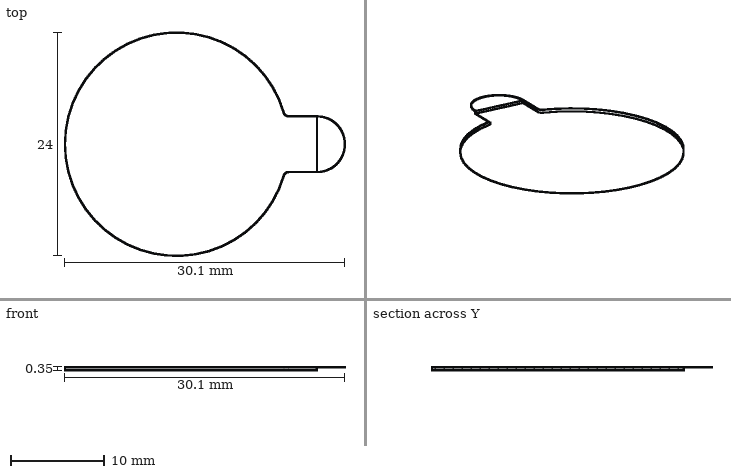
import cadquery as cq
import math

total_length = 30.07
disc_radius = 12.0
tab_radius = 3.0
neck_fillet = 0.5
total_thickness = 0.35
film_thickness = 0.07

tab_tip_x = total_length - disc_radius
tab_centre_x = tab_tip_x - tab_radius

fillet_centre_distance = disc_radius + neck_fillet
fillet_centre_y = tab_radius + neck_fillet
fillet_centre_x = math.sqrt(fillet_centre_distance**2 - fillet_centre_y**2)

rim_ratio = disc_radius / fillet_centre_distance
rim_x = fillet_centre_x * rim_ratio
rim_y = fillet_centre_y * rim_ratio


def disc_with_straight_tab():
    """Open outline: lower tab side, lower neck, disc rim, upper neck, upper tab side."""
    return (
        cq.Workplane("XY")
        .moveTo(tab_centre_x, -tab_radius)
        .lineTo(fillet_centre_x, -tab_radius)
        .tangentArcPoint((rim_x, -rim_y), relative=False)
        .threePointArc((-disc_radius, 0), (rim_x, rim_y))
        .tangentArcPoint((fillet_centre_x, tab_radius), relative=False)
        .lineTo(tab_centre_x, tab_radius)
    )


film = (
    disc_with_straight_tab()
    .threePointArc((tab_tip_x, 0), (tab_centre_x, -tab_radius))
    .close()
    .extrude(-film_thickness)
)

backing = (
    disc_with_straight_tab()
    .close()
    .extrude(film_thickness - total_thickness)
    .translate((0, 0, -film_thickness))
)

result = film.union(backing, clean=True)